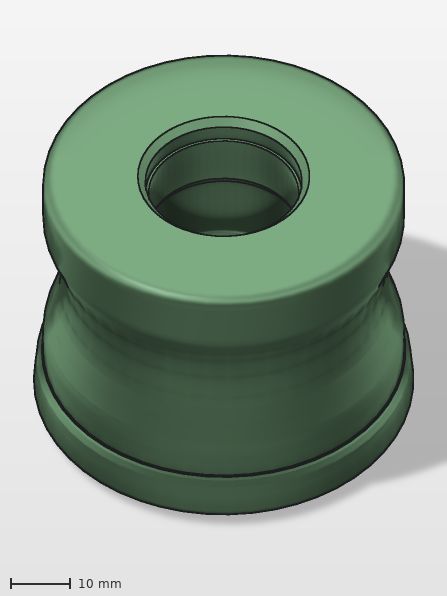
import cadquery as cq
import math

total_height = 50.8
seam_z = 10.45

rim_radius = 30.2
top_round = 2.05
upper_slope = 22.3
lower_slope = 16.7
rim_blend_radius = 5.3
foot_blend_radius = 10.0
waist_radius = 27.1
waist_z = 29.25
waist_arc_radius = 19.9

mouth_radius = 14.35
bore_radius = 13.08
rib_radius = 12.55
mouth_chamfer_depth = 1.25
rib_top_depth = 3.95
rib_length = 8.75
rib_runout = 1.15
bore_depth = 25.4
floor_fillet = 0.79
screw_hole_radius = 6.85
screw_hole_chamfer = 0.4

ledge_radius = 30.42
ledge_height = 0.2
shoulder_break_radius = 30.75
shoulder_break_z = 9.75
shoulder_radius = 31.2
shoulder_z = 8.8
shoulder_edge = 0.2
band_z = 7.15
band_slope = 4.5
skirt_slope = 5.7
base_radius = 31.75
base_round = 1.6
underside_radius = 24.2
underside_slope = 17.0


def arc_point(center, radius, degrees):
    """Point (r, z) on a circle, the angle measured from the outward radial direction."""
    angle = math.radians(degrees)
    return (center[0] + radius * math.cos(angle), center[1] + radius * math.sin(angle))


def revolve(outline):
    """Solid of revolution about Z from a closed outline in (r, z)."""
    return outline.revolve(360, (0, 0, 0), (0, 1, 0))


def blend_offset(blend_radius, slope):
    """Height from the waist center to a rim or foot blend center, joined by a tangent slope."""
    angle = math.radians(slope)
    both_radii = waist_arc_radius + blend_radius
    slope_width = (rim_radius - waist_radius) - both_radii * (1 - math.cos(angle))
    return both_radii * math.sin(angle) + slope_width / math.tan(angle)


def make_spool_blank():
    """Waisted outside with a round top edge, without the bore."""
    top_round_center = (rim_radius - top_round, total_height - top_round)
    waist = (waist_radius + waist_arc_radius, waist_z)
    rim_bottom_z = waist_z + blend_offset(rim_blend_radius, upper_slope)
    foot_top_z = waist_z - blend_offset(foot_blend_radius, lower_slope)
    rim_blend = (rim_radius - rim_blend_radius, rim_bottom_z)
    foot_blend = (rim_radius - foot_blend_radius, foot_top_z)
    outline = (
        cq.Workplane("XZ")
        .moveTo(0, seam_z)
        .lineTo(rim_radius, seam_z)
        .lineTo(rim_radius, foot_top_z)
        .threePointArc(
            arc_point(foot_blend, foot_blend_radius, lower_slope / 2),
            arc_point(foot_blend, foot_blend_radius, lower_slope),
        )
        .lineTo(*arc_point(waist, waist_arc_radius, 180 + lower_slope))
        .threePointArc(
            (waist_radius, waist_z),
            arc_point(waist, waist_arc_radius, 180 - upper_slope),
        )
        .lineTo(*arc_point(rim_blend, rim_blend_radius, -upper_slope))
        .threePointArc(
            arc_point(rim_blend, rim_blend_radius, -upper_slope / 2),
            (rim_radius, rim_bottom_z),
        )
        .lineTo(rim_radius, total_height - top_round)
        .threePointArc(
            arc_point(top_round_center, top_round, 45),
            (rim_radius - top_round, total_height),
        )
        .lineTo(0, total_height)
        .close()
    )
    return revolve(outline)


def make_bore():
    """Chamfered, ribbed bore with a rounded floor corner, and the screw hole below it."""
    floor_z = total_height - bore_depth
    rib_top_z = total_height - rib_top_depth
    rib_bottom_z = rib_top_z - rib_length
    fillet_center = (bore_radius - floor_fillet, floor_z + floor_fillet)
    outline = (
        cq.Workplane("XZ")
        .moveTo(0, total_height)
        .lineTo(mouth_radius, total_height)
        .lineTo(bore_radius, total_height - mouth_chamfer_depth)
        .lineTo(bore_radius, rib_top_z)
        .lineTo(rib_radius, rib_top_z)
        .lineTo(rib_radius, rib_bottom_z)
        .lineTo(bore_radius, rib_bottom_z - rib_runout)
        .lineTo(bore_radius, floor_z + floor_fillet)
        .threePointArc(
            arc_point(fillet_center, floor_fillet, -45),
            (bore_radius - floor_fillet, floor_z),
        )
        .lineTo(screw_hole_radius + screw_hole_chamfer, floor_z)
        .lineTo(screw_hole_radius, floor_z - screw_hole_chamfer)
        .lineTo(screw_hole_radius, seam_z)
        .lineTo(0, seam_z)
        .close()
    )
    return revolve(outline)


def make_base():
    """Ring under the spool: stepped shoulder, tapered skirt, round edge and coned underside."""
    round_bottom_angle = underside_slope - 90
    round_center_r = base_radius - base_round
    tangent_r = arc_point((round_center_r, 0), base_round, round_bottom_angle)[0]
    tangent_z = (tangent_r - underside_radius) * math.tan(math.radians(underside_slope))
    round_center = (round_center_r, tangent_z - base_round * math.sin(math.radians(round_bottom_angle)))
    skirt_bottom = arc_point(round_center, base_round, skirt_slope)
    band_radius = skirt_bottom[0] - (band_z - skirt_bottom[1]) * math.tan(math.radians(skirt_slope))
    band_top_z = shoulder_z - shoulder_edge
    band_top_radius = band_radius - (band_top_z - band_z) * math.tan(math.radians(band_slope))
    outline = (
        cq.Workplane("XZ")
        .moveTo(screw_hole_radius, 0)
        .lineTo(underside_radius, 0)
        .lineTo(tangent_r, tangent_z)
        .threePointArc(
            arc_point(round_center, base_round, (round_bottom_angle + skirt_slope) / 2),
            skirt_bottom,
        )
        .lineTo(band_radius, band_z)
        .lineTo(band_top_radius, band_top_z)
        .lineTo(shoulder_radius, shoulder_z)
        .lineTo(shoulder_break_radius, shoulder_break_z)
        .lineTo(ledge_radius, seam_z - ledge_height)
        .lineTo(ledge_radius, seam_z)
        .lineTo(screw_hole_radius, seam_z)
        .close()
    )
    return revolve(outline)


spool = make_spool_blank().cut(make_bore())
base = make_base()

result = cq.Compound.makeCompound([spool.val(), base.val()])